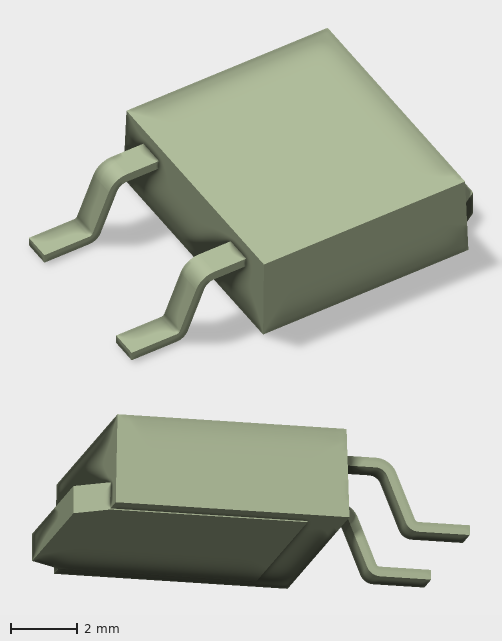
import cadquery as cq
import math

total_length = 12.2
total_height = 2.82

body_width = 8.13
body_front = 3.98
body_back = 11.21
body_inset = 0.07
standoff = 0.04

tab_width = 6.73
tab_end_width = 5.42
tab_front = 5.11
tab_thickness = 0.85

lead_pitch = 5.06
lead_width = 0.9
lead_thickness = 0.3
lead_top = 2.27
lead_angle = math.radians(68)
foot_length = 1.59
upper_bend_radius = 0.38
lower_bend_radius = 0.12
lead_embed = 0.25


def make_body():
    length = body_back - body_front
    height = total_height - standoff
    return (
        cq.Workplane("XY", origin=(0, (body_front + body_back) / 2, standoff))
        .rect(body_width, length)
        .workplane(offset=height)
        .rect(body_width - 2 * body_inset, length - 2 * body_inset)
        .loft(ruled=True)
    )


def make_tab():
    half_width = tab_width / 2
    half_end = tab_end_width / 2
    outline = [
        (-half_width, tab_front),
        (half_width, tab_front),
        (half_width, body_back),
        (half_end, total_length),
        (-half_end, total_length),
        (-half_width, body_back),
    ]
    return cq.Workplane("XY").polyline(outline).close().extrude(tab_thickness)


def make_lead(center_x):
    """Bend a constant-thickness strip; each bend is an arc about one centre."""
    upper_outer = upper_bend_radius + lead_thickness
    lower_outer = lower_bend_radius + lead_thickness
    upper_z = lead_top - upper_outer
    lower_z = standoff + lower_outer

    radius_sum = upper_outer + lower_bend_radius
    slope_rise = upper_z - lower_z + radius_sum * math.cos(lead_angle)
    bend_spacing = radius_sum * math.sin(lead_angle) + slope_rise / math.tan(lead_angle)
    lower_y = foot_length
    upper_y = lower_y + bend_spacing

    def upper_point(radius, angle):
        return (upper_y - radius * math.sin(angle), upper_z + radius * math.cos(angle))

    def lower_point(radius, angle):
        return (lower_y + radius * math.sin(angle), lower_z - radius * math.cos(angle))

    half_angle = lead_angle / 2
    root_y = body_front + lead_embed
    return (
        cq.Workplane("YZ", origin=(center_x - lead_width / 2, 0, 0))
        .moveTo(root_y, lead_top)
        .lineTo(upper_y, lead_top)
        .threePointArc(upper_point(upper_outer, half_angle), upper_point(upper_outer, lead_angle))
        .lineTo(*lower_point(lower_bend_radius, lead_angle))
        .threePointArc(lower_point(lower_bend_radius, half_angle), lower_point(lower_bend_radius, 0))
        .lineTo(0, standoff + lead_thickness)
        .lineTo(0, standoff)
        .lineTo(lower_y, standoff)
        .threePointArc(lower_point(lower_outer, half_angle), lower_point(lower_outer, lead_angle))
        .lineTo(*upper_point(upper_bend_radius, lead_angle))
        .threePointArc(upper_point(upper_bend_radius, half_angle), upper_point(upper_bend_radius, 0))
        .lineTo(root_y, lead_top - lead_thickness)
        .close()
        .extrude(lead_width)
    )


result = make_body().union(make_tab())
for side in (-1, 1):
    result = result.union(make_lead(side * lead_pitch / 2))